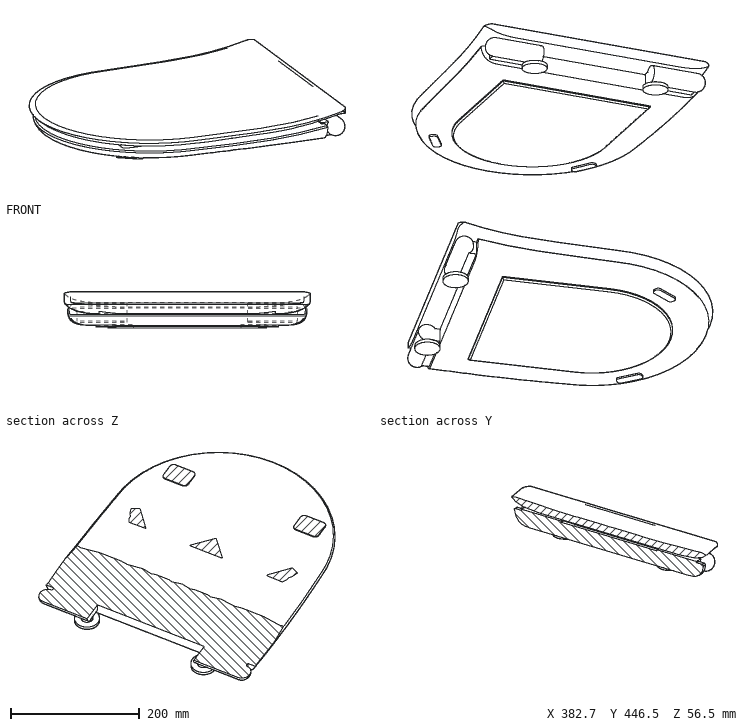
import cadquery as cq
import math

TOTAL_LENGTH = 446.5
TOTAL_WIDTH = 382.7
TOTAL_HEIGHT = 56.5
BEND_Y = 187.5
FLANK_Y = 250.0
HINGE_LINE_Y = 317.0
RISE_Y = 357.5

LID_BACK_Y = 440.5
LID_BACK_RIM = 6.5
LID_RADIUS = BEND_Y
LID_BACK_HALF_WIDTH = TOTAL_WIDTH / 2
LID_CORNER_RADIUS = 11.5
LID_RIM_WIDTH = 10.0
LID_RIM_DROP = 2.2
LID_SKIRT = 53.5
LID_SKIRT_LEAN = 11.0
DISH_FLAT_HALF_WIDTH = 68.5
LID_STATIONS = [
    (BEND_Y, LID_RADIUS, 39.0, 31.3, 22.5),
    (FLANK_Y, 189.5, 39.5, 31.3, 22.8),
    (HINGE_LINE_Y, 190.5, 40.5, 32.5, 24.0),
    (RISE_Y, 191.0, 43.5, 37.5, 27.0),
    (402.0, LID_BACK_HALF_WIDTH, 49.5, 46.5, 34.0),
    (LID_BACK_Y - LID_BACK_RIM, LID_BACK_HALF_WIDTH, TOTAL_HEIGHT, TOTAL_HEIGHT, 39.7),
]

SEAT_BACK_Y = 409.0
SEAT_RADIUS = 181.5
SEAT_BACK_HALF_WIDTH = 186.2
SEAT_TOP = 21.0
SEAT_UNDERSIDE = 4.5
SEAT_RIM_WIDTH = 2.5
SEAT_RIM_DROP = 2.2
SEAT_SKIRT = 29.0
SEAT_SKIRT_LEAN = 3.5
SEAT_STATIONS = [
    (BEND_Y, SEAT_RADIUS, SEAT_TOP),
    (FLANK_Y, 184.0, SEAT_TOP),
    (HINGE_LINE_Y, 185.5, 22.5),
    (RISE_Y, 186.0, 25.0),
    (SEAT_BACK_Y, SEAT_BACK_HALF_WIDTH, 31.3),
]

BARREL_RADIUS = 14.7
BARREL_Y = 428.5
BARREL_Z = 23.5
BARREL_INNER_X = 94.0
BARREL_OUTER_X = 185.5
BARREL_END_RADIUS = 14.0
ARM_OUTER_X = BARREL_OUTER_X - BARREL_END_RADIUS
ARM_BOTTOM = 10.5
ARM_TOP = 32.5
ARM_ROOT = 4.5

FOOT_X = 102.5
FOOT_RADIUS = 19.5
FOOT_HEIGHT = 5.5
FOOT_Y = TOTAL_LENGTH - FOOT_RADIUS
NECK_BOTTOM_RADIUS = 9.5
NECK_TOP_RADIUS = 6.5
NECK_HEIGHT = 8.0

BUMPER_X = 115.0
BUMPER_Y = 102.5
BUMPER_LENGTH = 43.8
BUMPER_WIDTH = 34.5
BUMPER_TOP = 30.5
BUMPER_CORNER_RADIUS = 6.5
PAD_X = 126.5
PAD_Y = 100.5
PAD_LENGTH = 42.5
PAD_WIDTH = 13.5
PAD_BOTTOM = 2.0
PAD_TOP = 10.5
PAD_CORNER_RADIUS = 5.5

PLATE_RADIUS = 125.0
PLATE_BACK_Y = 357.5
PLATE_CHAMFER = 2.5


def half_profile(sketch, half_width, rim_z, floor_z, bottom_z, rim_width, rim_drop, skirt, lean):
    """Right half of a cross-section: floor, rising dish, sloped rim, curved skirt, underside."""
    tip_z = rim_z - rim_drop
    return (
        sketch.moveTo(0, bottom_z)
        .lineTo(0, floor_z)
        .lineTo(DISH_FLAT_HALF_WIDTH, floor_z)
        .spline([(half_width - rim_width, rim_z)],
                tangents=[(1, 0), (half_width - DISH_FLAT_HALF_WIDTH, 2 * (rim_z - floor_z))],
                includeCurrent=True)
        .lineTo(half_width, tip_z)
        .bezier([(half_width, tip_z), (half_width - lean, bottom_z), (half_width - skirt, bottom_z)])
        .close()
    )


def rounded_shell(stations, rim_width, rim_drop, skirt, lean, back_rim=0):
    """Body with a round front end, lofted back through the stations, mirrored about X = 0.

    A back rim continues the last station straight back by that length.
    """
    def section(y, *heights):
        sketch = cq.Workplane("XZ", origin=(0, y, 0))
        return half_profile(sketch, *heights, rim_width, rim_drop, skirt, lean)

    front = section(*stations[0]).revolve(90, (0, 0), (0, -1))
    wires = [section(*station).val() for station in stations]
    flank = cq.Workplane(cq.Solid.makeLoft(wires))
    half = front.union(flank)
    if back_rim:
        half = half.union(section(*stations[-1]).extrude(-back_rim))
    return half.union(half.mirror("YZ"))


def both_sides(shape):
    """The shape together with its mirror image across X = 0."""
    return shape.union(shape.mirror("YZ"))


def make_lid():
    """Dished lid with rounded back corners and two bumpers that rest on the seat."""
    shell = rounded_shell(
        LID_STATIONS, LID_RIM_WIDTH, LID_RIM_DROP, LID_SKIRT, LID_SKIRT_LEAN, LID_BACK_RIM
    )
    plan = (
        cq.Workplane("XY")
        .rect(2 * LID_BACK_HALF_WIDTH, 2 * LID_BACK_Y)
        .extrude(TOTAL_HEIGHT)
        .edges("|Z").edges(">Y").fillet(LID_CORNER_RADIUS)
    )
    bumper = (
        cq.Workplane("XY", origin=(BUMPER_X, BUMPER_Y, SEAT_TOP))
        .rect(BUMPER_LENGTH, BUMPER_WIDTH)
        .extrude(BUMPER_TOP - SEAT_TOP)
        .edges("|Z").fillet(BUMPER_CORNER_RADIUS)
    )
    return shell.intersect(plan).union(both_sides(bumper))


def make_barrel():
    """Right hinge barrel with the arm that joins it to the seat, domed at the outer end."""
    arm_front_y = SEAT_BACK_Y - ARM_ROOT
    barrel = (
        cq.Workplane("YZ", origin=(BARREL_INNER_X, BARREL_Y, BARREL_Z))
        .circle(BARREL_RADIUS)
        .extrude(BARREL_OUTER_X - BARREL_INNER_X)
        .faces(">X").edges().fillet(BARREL_END_RADIUS)
    )
    arm_size = (ARM_OUTER_X - BARREL_INNER_X, BARREL_Y - arm_front_y, ARM_TOP - ARM_BOTTOM)
    arm = (
        cq.Workplane("XY")
        .box(*arm_size, centered=False)
        .translate((BARREL_INNER_X, arm_front_y, ARM_BOTTOM))
    )
    return barrel.union(arm)


def make_pad():
    """Right pad under the seat, lying along the curve of the round front end."""
    angle = math.degrees(math.atan2(PAD_Y - BEND_Y, PAD_X))
    return (
        cq.Workplane("XY")
        .box(PAD_WIDTH, PAD_LENGTH, PAD_TOP - PAD_BOTTOM, centered=(True, True, False))
        .edges("|Z").fillet(PAD_CORNER_RADIUS)
        .rotate((0, 0, 0), (0, 0, 1), angle)
        .translate((PAD_X, PAD_Y, PAD_BOTTOM))
    )


def make_seat():
    """Seat slab with a barrel and a pad on each side."""
    stations = [(y, width, top, top, SEAT_UNDERSIDE) for y, width, top in SEAT_STATIONS]
    slab = rounded_shell(stations, SEAT_RIM_WIDTH, SEAT_RIM_DROP, SEAT_SKIRT, SEAT_SKIRT_LEAN)
    return slab.union(both_sides(make_barrel())).union(both_sides(make_pad()))


def make_foot(seat):
    """Right hinge foot: a round base and a tapered neck that seats against the barrel."""
    base = cq.Workplane("XY").center(FOOT_X, FOOT_Y).circle(FOOT_RADIUS).extrude(FOOT_HEIGHT)
    neck = (
        base.faces(">Z").workplane()
        .circle(NECK_BOTTOM_RADIUS)
        .workplane(offset=NECK_HEIGHT)
        .circle(NECK_TOP_RADIUS)
        .loft(combine=False)
    )
    return base.union(neck).cut(seat)


def make_plate():
    """D-shaped base plate with a bevelled lower edge, flush against the seat underside."""
    front_y = BEND_Y - PLATE_RADIUS
    return (
        cq.Workplane("XY")
        .moveTo(-PLATE_RADIUS, PLATE_BACK_Y)
        .lineTo(-PLATE_RADIUS, BEND_Y)
        .threePointArc((0, front_y), (PLATE_RADIUS, BEND_Y))
        .lineTo(PLATE_RADIUS, PLATE_BACK_Y)
        .close()
        .extrude(SEAT_UNDERSIDE)
        .faces("<Z").edges().chamfer(PLATE_CHAMFER)
    )


lid = make_lid()
seat = make_seat()
plate = make_plate()
right_foot = make_foot(seat)
feet = [right_foot, right_foot.mirror("YZ")]

bodies = [lid, seat, plate, *feet]
result = cq.Compound.makeCompound([body.solids().val() for body in bodies])